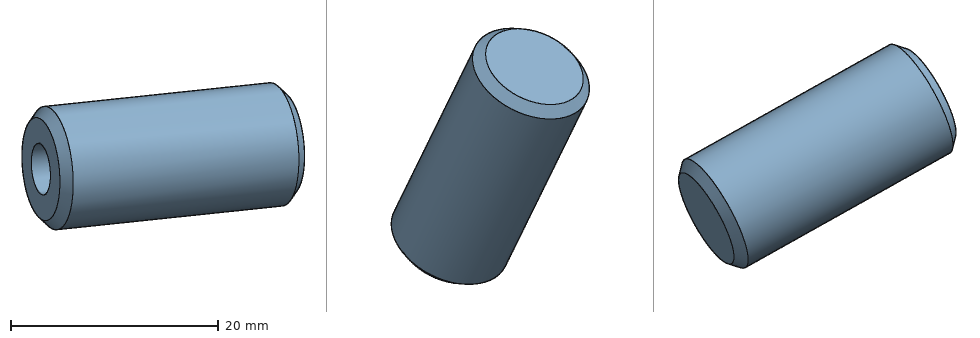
import cadquery as cq
import math

length = 25.4
diameter = 12.0
chamfer = 1.0
hole_diameter = 5.0
hole_depth = 12.7
drill_point_angle = 118.0

outer_radius = diameter / 2
hole_radius = hole_diameter / 2
front_y = -length / 2
back_y = length / 2
hole_bottom_y = front_y + hole_depth
tip_length = hole_radius / math.tan(math.radians(drill_point_angle / 2))

half_section = (
    cq.Workplane("XY")
    .moveTo(hole_radius, front_y)
    .lineTo(outer_radius - chamfer, front_y)
    .lineTo(outer_radius, front_y + chamfer)
    .lineTo(outer_radius, back_y - chamfer)
    .lineTo(outer_radius - chamfer, back_y)
    .lineTo(0, back_y)
    .lineTo(0, hole_bottom_y + tip_length)
    .lineTo(hole_radius, hole_bottom_y)
    .close()
)

result = half_section.revolve(360, (0, 0, 0), (0, 1, 0))